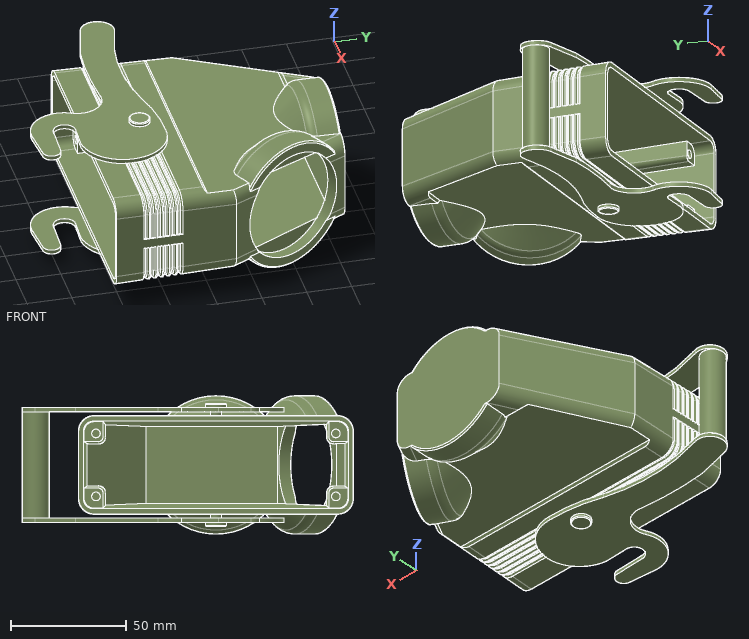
import math

import cadquery as cq

MOUTH_HALF_X = 59.6
SHOULDER_HALF_X = 58.9
ROOF_HALF_X = 30.3
SHOULDER_Y = 53.7
ROOF_Y = 109.2
MOUTH_HALF_Z = 21.4
ROOF_HALF_Z = 19.8
CORNER_R = 6.8

RIM_WALL = 2.5
SIDE_RIM_WALL = 2.2
SLOPE_WALL = 2.7
THICK_WALL = 5.9
CAVITY_HALF_X = MOUTH_HALF_X - SIDE_RIM_WALL
CAVITY_SHOULDER_HALF_X = 55.9
CAVITY_MOUTH_HALF_Z = MOUTH_HALF_Z - RIM_WALL
CAVITY_ROOF_HALF_Z = 16.7
CAVITY_ROOF_Y = ROOF_Y - THICK_WALL
CAVITY_CORNER_R = CORNER_R - RIM_WALL

PANEL_START_Y = 40.2
PANEL_END_Y = 96.2
PANEL_DEPTH = 1.1

GROOVE_COUNT = 6
GROOVE_PITCH = 3.0
GROOVE_START_Y = 12.2
GROOVE_DEPTH = 0.9
GROOVE_FLOOR = 0.7
GROOVE_WIDTH = 2 * GROOVE_DEPTH + GROOVE_FLOOR
GROOVE_WALL_ANGLE = 45.0
GROOVE_GAP_Z = 4.6

BOSS_R = 30.0
BOSS_LENGTH = 12.9
BOSS_BLEND_R = 6.0
BOSS_CHAMFER = 0.7
BOSS_CONE_ANGLE = 45.0
ENTRY_HOLE_R = 25.0
SIDE_BOSS_X = 44.0
SIDE_BOSS_INSET = 0.6

POST_FACE_Y = 9.2
POST_LENGTH = 61.8
POST_INNER_X = 49.0
POST_INNER_Z = 10.0
POST_CORNER_R = 2.0
POST_DRAFT = 1.1
SCREW_X = 52.0
SCREW_Z = 13.6
SCREW_HOLE_R = 1.9
SCREW_HOLE_DEPTH = 17.2

PIVOT_Y = 24.8
PIN_NECK_R = 2.5
PIN_ROOT_Z = 19.4
PIN_HEAD_R = 4.6
PIN_HEAD_HEIGHT = 1.7
PIN_HEAD_CHAMFER = 0.5
PLATE_INNER_Z = 23.0
PLATE_THICKNESS = 2.0
PLATE_OUTER_Z = PLATE_INNER_Z + PLATE_THICKNESS

ARM_END = (-76.5, PIVOT_Y)
ARM_END_R = 7.5
ARM_ANGLE = 14.0
ARM_TOP_STRAIGHT = 15.2
ARM_BOTTOM_STRAIGHT = 18.1
BAR_R = 5.9
BAR_X = ARM_END[0] - ARM_END_R + BAR_R

ARM_TOP_LOW = (-43.5, 26.9)
ARM_TOP_INFLECTION = (-18.1, 30.0)
SHOULDER_MID = (-5.0, 33.2)
DISC_CENTER = (10.2, 15.0)
DISC_R = 19.2
DISC_END_ANGLE = -85.0
ARM_BOTTOM_LOW = (-43.1, 12.2)
CROOK_CENTER = (-23.0, 2.7)
CROOK_R = 10.6
CROOK_START_ANGLE = 102.0

HOOK_CENTER = (-0.1, -8.6)
HOOK_R = 14.8
SLOT_R = 4.9
TIP_CENTER = (15.0, -18.1)
TIP_R = 4.0
TIP_ANGLE = 5.0

SLOPE_RUN = SHOULDER_HALF_X - ROOF_HALF_X
SLOPE_RISE = ROOF_Y - SHOULDER_Y
SLOPE_LENGTH = math.hypot(SLOPE_RUN, SLOPE_RISE)
NORMAL_X = SLOPE_RISE / SLOPE_LENGTH
NORMAL_Y = SLOPE_RUN / SLOPE_LENGTH

OVERSIZE = 86.2


def slope_x(y, wall=0.0):
    """X of the +X flank at height y, moved inwards by a wall thickness."""
    return ROOF_HALF_X + (ROOF_Y - y) * SLOPE_RUN / SLOPE_RISE - wall / NORMAL_X


def slope_y(x, wall=0.0):
    """Y of the +X flank at position x, moved inwards by a wall thickness."""
    return ROOF_Y - (x + wall / NORMAL_X - ROOF_HALF_X) * SLOPE_RISE / SLOPE_RUN


def polar(center, radius, angle):
    """Point on a circle at an angle in degrees."""
    turn = math.radians(angle)
    return (center[0] + radius * math.cos(turn), center[1] + radius * math.sin(turn))


def tapered_prism(outline, start_half_z, end_half_z, end_y):
    """XY outline whose Z half-height changes linearly from Y = 0 to end_y."""
    plan = cq.Workplane("XY").polyline(outline).close().extrude(OVERSIZE, both=True)
    side = (
        cq.Workplane("YZ")
        .polyline([(0, -start_half_z), (end_y, -end_half_z), (end_y, end_half_z), (0, start_half_z)])
        .close()
        .extrude(OVERSIZE, both=True)
    )
    return plan.intersect(side)


def outer_shell():
    outline = [
        (-MOUTH_HALF_X, 0),
        (-SHOULDER_HALF_X, SHOULDER_Y),
        (-ROOF_HALF_X, ROOF_Y),
        (ROOF_HALF_X, ROOF_Y),
        (SHOULDER_HALF_X, SHOULDER_Y),
        (MOUTH_HALF_X, 0),
    ]
    block = tapered_prism(outline, MOUTH_HALF_Z, ROOF_HALF_Z, ROOF_Y)
    return block.edges("(not |X) and (not |Z)").fillet(CORNER_R)


def face_z(y):
    """Height of the drafted broad face at y."""
    return MOUTH_HALF_Z + (ROOF_HALF_Z - MOUTH_HALF_Z) * y / ROOF_Y


def panel_cutter():
    """Bevel-ended recess in the +Z broad face, across the full width."""
    start_floor_y = PANEL_START_Y + PANEL_DEPTH
    end_floor_y = PANEL_END_Y - PANEL_DEPTH
    return (
        cq.Workplane("YZ")
        .moveTo(PANEL_START_Y, face_z(PANEL_START_Y))
        .lineTo(start_floor_y, face_z(start_floor_y) - PANEL_DEPTH)
        .lineTo(end_floor_y, face_z(end_floor_y) - PANEL_DEPTH)
        .lineTo(PANEL_END_Y, face_z(PANEL_END_Y))
        .lineTo(PANEL_END_Y, MOUTH_HALF_Z)
        .lineTo(PANEL_START_Y, MOUTH_HALF_Z)
        .close()
        .extrude(OVERSIZE, both=True)
    )


def rounded_block(y, half_x, half_z, radius, length, taper=0.0):
    """Rounded rectangle standing on the plane at y and growing along +Y."""
    plane = cq.Plane(origin=(0, y, 0), xDir=(-1, 0, 0), normal=(0, 1, 0))
    outline = cq.Sketch().rect(2 * half_x, 2 * half_z).vertices().fillet(radius)
    return cq.Workplane(plane).placeSketch(outline).extrude(length, taper=taper)


def groove_cutter(y):
    """Trapezoidal groove around the shell, interrupted at the middle of both narrow sides."""
    half_x = MOUTH_HALF_X + (SHOULDER_HALF_X - MOUTH_HALF_X) * y / SHOULDER_Y
    half_z = face_z(y)
    middle_y = y + GROOVE_WIDTH / 2
    lower_half = rounded_block(y, half_x, half_z, CORNER_R, GROOVE_DEPTH, taper=GROOVE_WALL_ANGLE)
    upper_half = lower_half.mirror("XZ", (0, middle_y, 0))
    floor = rounded_block(
        y, half_x - GROOVE_DEPTH, half_z - GROOVE_DEPTH, CORNER_R - GROOVE_DEPTH, GROOVE_WIDTH
    )
    gap = cq.Workplane("XY").box(2 * OVERSIZE, GROOVE_WIDTH, GROOVE_GAP_Z).translate((0, middle_y, 0))
    ring = cq.Workplane("XY").box(2 * OVERSIZE, GROOVE_WIDTH, OVERSIZE).translate((0, middle_y, 0))
    return ring.cut(lower_half).cut(upper_half).cut(floor).cut(gap)


def boss():
    """Cable boss with its outer face on Y = 0 and a blended cone towards -Y."""
    half_angle = BOSS_CONE_ANGLE / 2
    cone_length = BOSS_R / math.tan(math.radians(BOSS_CONE_ANGLE))
    setback = BOSS_BLEND_R * math.tan(math.radians(half_angle))
    blend_center = (BOSS_R - BOSS_BLEND_R, setback - BOSS_LENGTH)
    return (
        cq.Workplane("XY")
        .moveTo(0, 0)
        .lineTo(BOSS_R - BOSS_CHAMFER, 0)
        .lineTo(BOSS_R, -BOSS_CHAMFER)
        .lineTo(BOSS_R, setback - BOSS_LENGTH)
        .threePointArc(
            polar(blend_center, BOSS_BLEND_R, -half_angle),
            polar(blend_center, BOSS_BLEND_R, -BOSS_CONE_ANGLE),
        )
        .lineTo(0, -BOSS_LENGTH - cone_length)
        .close()
        .revolve(360, (0, 0, 0), (0, 1, 0))
    )


def cavity():
    ledge_x = slope_x(SHOULDER_Y, THICK_WALL)
    left_kink_y = slope_y(CAVITY_SHOULDER_HALF_X, SLOPE_WALL)
    outline = [
        (-CAVITY_HALF_X, 0),
        (-CAVITY_SHOULDER_HALF_X, left_kink_y),
        (-slope_x(CAVITY_ROOF_Y, SLOPE_WALL), CAVITY_ROOF_Y),
        (slope_x(CAVITY_ROOF_Y, THICK_WALL), CAVITY_ROOF_Y),
        (ledge_x, SHOULDER_Y),
        (CAVITY_SHOULDER_HALF_X, SHOULDER_Y),
        (CAVITY_HALF_X, 0),
    ]
    block = tapered_prism(outline, CAVITY_MOUTH_HALF_Z, CAVITY_ROOF_HALF_Z, CAVITY_ROOF_Y)
    side_edges = cq.selectors.BoxSelector(
        (-OVERSIZE, 0, -OVERSIZE), (OVERSIZE, SHOULDER_Y - RIM_WALL, OVERSIZE)
    )
    return block.edges("(not |X) and (not |Z)").edges(side_edges).fillet(CAVITY_CORNER_R)


def screw_post(side_x, side_z):
    """Drafted post in one mouth corner, reaching past the walls that will trim it."""
    plane = cq.Plane(origin=(0, POST_FACE_Y, 0), xDir=(-1, 0, 0), normal=(0, 1, 0))
    center_x = (POST_INNER_X + MOUTH_HALF_X) / 2
    center_z = (POST_INNER_Z + MOUTH_HALF_Z) / 2
    outline = (
        cq.Sketch()
        .push([(-side_x * center_x, side_z * center_z)])
        .rect(MOUTH_HALF_X - POST_INNER_X, MOUTH_HALF_Z - POST_INNER_Z)
        .reset()
        .vertices()
        .fillet(POST_CORNER_R)
    )
    return cq.Workplane(plane).placeSketch(outline).extrude(POST_LENGTH, taper=-POST_DRAFT)


def screw_hole(side_x, side_z):
    start = cq.Vector(side_x * SCREW_X, POST_FACE_Y, side_z * SCREW_Z)
    return cq.Solid.makeCylinder(SCREW_HOLE_R, SCREW_HOLE_DEPTH, start, cq.Vector(0, 1, 0))


def pivot_pin():
    """Headed pin on the +Z face; it starts inside the wall of the shell."""
    neck = (
        cq.Workplane("XY", origin=(0, PIVOT_Y, PIN_ROOT_Z))
        .circle(PIN_NECK_R)
        .extrude(PLATE_OUTER_Z - PIN_ROOT_Z)
    )
    head = (
        cq.Workplane("XY", origin=(0, PIVOT_Y, PLATE_OUTER_Z))
        .circle(PIN_HEAD_R)
        .extrude(PIN_HEAD_HEIGHT)
        .faces(">Z")
        .chamfer(PIN_HEAD_CHAMFER)
    )
    return neck.union(head)


def make_housing():
    shell = outer_shell()
    body = shell.cut(panel_cutter()).cut(panel_cutter().mirror("XY"))
    for index in range(GROOVE_COUNT):
        body = body.cut(groove_cutter(GROOVE_START_Y + index * GROOVE_PITCH))

    flank_tilt = -math.degrees(math.atan2(NORMAL_X, NORMAL_Y))
    flank_center = cq.Vector(SIDE_BOSS_X, slope_y(SIDE_BOSS_X), 0)
    inward = cq.Vector(-NORMAL_X, -NORMAL_Y, 0)
    side_boss = (
        boss()
        .rotate((0, 0, 0), (0, 0, 1), flank_tilt)
        .translate(flank_center + inward * SIDE_BOSS_INSET)
    )
    body = body.union(boss().translate((0, ROOF_Y, 0))).union(side_boss)

    inside = cavity()
    for side_x in (-1, 1):
        for side_z in (-1, 1):
            inside = inside.cut(screw_post(side_x, side_z))
    body = body.cut(inside)
    for side_x in (-1, 1):
        for side_z in (-1, 1):
            body = body.cut(cq.Workplane(screw_hole(side_x, side_z)))

    entry_hole = cq.Solid.makeCylinder(ENTRY_HOLE_R, THICK_WALL, flank_center, inward)
    body = body.cut(cq.Workplane(entry_hole))
    return body.union(pivot_pin()).union(pivot_pin().mirror("XY"))


def lever_plate():
    """Hooked plate with a pivot hole, lying on Z = PLATE_INNER_Z."""
    arm_top = polar(ARM_END, ARM_END_R, 90 - ARM_ANGLE)
    arm_bottom = polar(ARM_END, ARM_END_R, 270 - ARM_ANGLE)
    crook_end_angle = math.degrees(
        math.atan2(HOOK_CENTER[1] - CROOK_CENTER[1], HOOK_CENTER[0] - CROOK_CENTER[0])
    )
    hook_start_angle = 180 + crook_end_angle
    slot_top = (HOOK_CENTER[0], HOOK_CENTER[1] + SLOT_R)
    slot_bottom = (HOOK_CENTER[0], HOOK_CENTER[1] - SLOT_R)
    hook_end_angle = 270 + TIP_ANGLE
    profile = (
        cq.Workplane("XY", origin=(0, 0, PLATE_INNER_Z))
        .moveTo(*arm_bottom)
        .threePointArc(polar(ARM_END, ARM_END_R, 180 - ARM_ANGLE), arm_top)
        .lineTo(*polar(arm_top, ARM_TOP_STRAIGHT, -ARM_ANGLE))
        .threePointArc(ARM_TOP_LOW, ARM_TOP_INFLECTION)
        .threePointArc(SHOULDER_MID, polar(DISC_CENTER, DISC_R, 90))
        .threePointArc(polar(DISC_CENTER, DISC_R, 0), polar(DISC_CENTER, DISC_R, DISC_END_ANGLE))
        .lineTo(*slot_top)
        .threePointArc((HOOK_CENTER[0] - SLOT_R, HOOK_CENTER[1]), slot_bottom)
        .lineTo(*polar(TIP_CENTER, TIP_R, 90 - TIP_ANGLE))
        .threePointArc(polar(TIP_CENTER, TIP_R, 0), polar(TIP_CENTER, TIP_R, TIP_ANGLE - 90))
        .lineTo(*polar(HOOK_CENTER, HOOK_R, hook_end_angle))
        .threePointArc(
            polar(HOOK_CENTER, HOOK_R, (hook_start_angle + hook_end_angle) / 2),
            polar(HOOK_CENTER, HOOK_R, hook_start_angle),
        )
        .threePointArc(
            polar(CROOK_CENTER, CROOK_R, (CROOK_START_ANGLE + crook_end_angle) / 2),
            polar(CROOK_CENTER, CROOK_R, CROOK_START_ANGLE),
        )
        .threePointArc(ARM_BOTTOM_LOW, polar(arm_bottom, ARM_BOTTOM_STRAIGHT, -ARM_ANGLE))
        .close()
    )
    hole = (
        cq.Workplane("XY", origin=(0, PIVOT_Y, PLATE_INNER_Z))
        .circle(PIN_NECK_R)
        .extrude(PLATE_THICKNESS)
    )
    return profile.extrude(PLATE_THICKNESS).cut(hole)


def make_lever():
    plate = lever_plate()
    bar = cq.Workplane("XY").center(BAR_X, PIVOT_Y).circle(BAR_R).extrude(PLATE_INNER_Z, both=True)
    return bar.union(plate).union(plate.mirror("XY"))


housing = make_housing().solids()
lever = make_lever().solids()
result = cq.Compound.makeCompound([housing.val(), lever.val()])